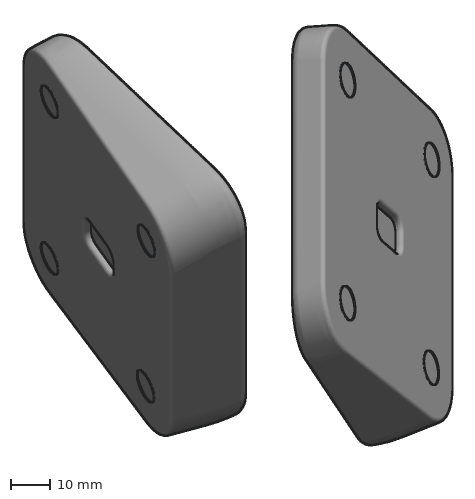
import cadquery as cq
import math

WIDTH = 81.2
DEPTH = 23.1
HEIGHT = 92.8
SLOPE = math.radians(10)
DRAFT = math.radians(12)
BEND_START_Y = 8.35
BEND_END_Y = 1.5
CORNER_RADIUS = 13.9
BACK_RADIUS = 2.8
FRONT_RADIUS = 1.1

FOOT_DIAMETER = 9.0
FOOT_DEPTH = 0.3
FEET = [(-26.5, 31.2), (-26.5, -31.2), (23.9, 29.1), (23.6, -29.1)]

POCKET_X = -1.1
POCKET_LENGTH = 14.8
POCKET_HEIGHT = 9.9
POCKET_CORNER = 3.0
POCKET_DEPTH = 2.0
POCKET_LIP = 1.1

front_margin = FRONT_RADIUS * (math.cos(SLOPE) + math.sin(SLOPE) - 1)
back_setback = BACK_RADIUS * math.tan(math.pi / 4 + SLOPE / 2)
back_y = DEPTH / 2
front_y = -DEPTH / 2 - front_margin
left_front_x = -WIDTH / 2 - front_margin
right_back_x = WIDTH / 2 + back_setback - BACK_RADIUS
right_front_x = right_back_x - (back_y - front_y) * math.tan(SLOPE)


def front_face_y(x):
    return front_y + (right_front_x - x) * math.tan(SLOPE)


def wedge():
    left_front_y = front_face_y(left_front_x)
    left_back_x = left_front_x + (back_y - left_front_y) * math.tan(SLOPE)
    return (
        cq.Workplane("XY")
        .polyline([
            (left_front_x, left_front_y),
            (right_front_x, front_y),
            (right_back_x, back_y),
            (left_back_x, back_y),
        ])
        .close()
        .extrude(HEIGHT / 2, both=True)
    )


def drafted_envelope():
    """Y-Z outline whose top and bottom bend inwards towards the front."""
    half = HEIGHT / 2
    bend_radius = (BEND_START_Y - BEND_END_Y) / math.sin(DRAFT)

    def bend_point(angle):
        return (
            BEND_START_Y - bend_radius * math.sin(angle),
            half - bend_radius * (1 - math.cos(angle)),
        )

    bend_middle = bend_point(DRAFT / 2)
    bend_end = bend_point(DRAFT)
    tip = (front_y, bend_end[1] - (bend_end[0] - front_y) * math.tan(DRAFT))

    def below(point):
        return (point[0], -point[1])

    return (
        cq.Workplane("YZ")
        .moveTo(back_y, half)
        .lineTo(BEND_START_Y, half)
        .threePointArc(bend_middle, bend_end)
        .lineTo(*tip)
        .lineTo(*below(tip))
        .lineTo(*below(bend_end))
        .threePointArc(below(bend_middle), (BEND_START_Y, -half))
        .lineTo(back_y, -half)
        .close()
        .extrude(WIDTH, both=True)
    )


front_plane = cq.Plane(
    origin=(0, front_face_y(0), 0),
    xDir=(math.cos(SLOPE), -math.sin(SLOPE), 0),
    normal=(-math.sin(SLOPE), -math.cos(SLOPE), 0),
)
front_direction = front_plane.zDir
front_face = cq.selectors.DirectionMinMaxSelector(front_direction)


def along_slope(x):
    return x / math.cos(SLOPE)


def rounded_body():
    body = wedge().intersect(drafted_envelope())
    side_walls = body.faces(cq.selectors.ParallelDirSelector(front_plane.xDir))
    body = side_walls.edges("not |Z").fillet(CORNER_RADIUS)
    body = body.faces(">Y").edges().fillet(BACK_RADIUS)
    return body.faces(front_face).edges().fillet(FRONT_RADIUS)


def foot_recesses():
    centers = [(along_slope(x), z) for x, z in FEET]
    return (
        cq.Workplane(front_plane)
        .pushPoints(centers)
        .circle(FOOT_DIAMETER / 2)
        .extrude(-FOOT_DEPTH)
    )


def cut_pocket(body):
    center_x = along_slope(POCKET_X)
    pocket = (
        cq.Workplane(front_plane)
        .center(center_x, 0)
        .rect(POCKET_LENGTH, POCKET_HEIGHT)
        .extrude(-POCKET_DEPTH)
        .edges(cq.selectors.ParallelDirSelector(front_direction))
        .fillet(POCKET_CORNER)
    )
    mouth = body.cut(pocket).faces(front_face)
    return mouth.newObject(mouth.val().innerWires()).fillet(POCKET_LIP)


result = cut_pocket(rounded_body()).cut(foot_recesses())